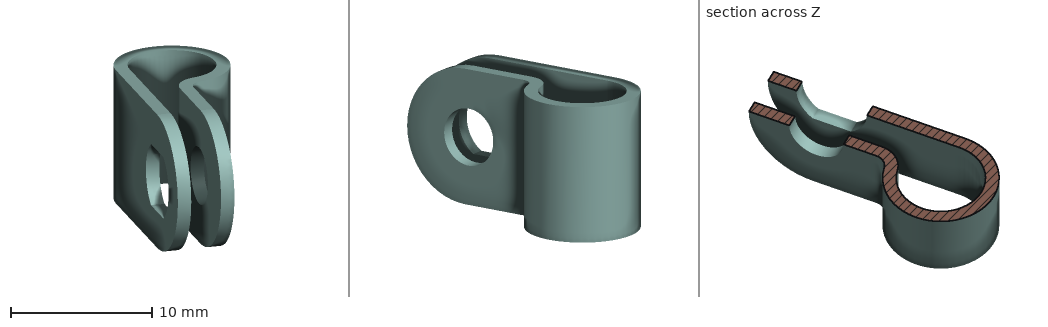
import cadquery as cq
import math

length = 19.15
width = 10.0
thickness = 1.0
strap_gap = 2.2

loop_radius = 4.146
loop_inner_radius = loop_radius - thickness

round_hole_diameter = 4.21
round_hole_x = 13.86
flat_hole_diameter = 5.5
flat_hole_height = 4.6

end_radius = width / 2
end_x = length - end_radius
upper_inside_y = thickness + strap_gap
upper_outside_y = upper_inside_y + thickness

bend_radius = 1.0
bend_outer_radius = bend_radius + thickness
bend_y = upper_outside_y + bend_radius
bend_rise = bend_y - loop_radius
bend_x = loop_radius + math.sqrt((loop_radius + bend_radius) ** 2 - bend_rise ** 2)
bend_angle = math.atan2(bend_rise, bend_x - loop_radius)
bend_middle_angle = (math.pi + bend_angle + 1.5 * math.pi) / 2


def polar(center_x, center_y, radius, angle):
    return (center_x + radius * math.cos(angle), center_y + radius * math.sin(angle))


def on_loop(radius, angle):
    return polar(loop_radius, loop_radius, radius, angle)


def on_bend(radius, angle):
    return polar(bend_x, bend_y, radius, angle)


def make_band():
    """Bent strip extruded across the full width."""
    return (
        cq.Workplane("XY")
        .moveTo(length, 0)
        .lineTo(loop_radius, 0)
        .threePointArc(on_loop(loop_radius, math.pi), on_loop(loop_radius, bend_angle))
        .threePointArc(on_bend(bend_radius, bend_middle_angle), (bend_x, upper_outside_y))
        .lineTo(length, upper_outside_y)
        .lineTo(length, upper_inside_y)
        .lineTo(bend_x, upper_inside_y)
        .threePointArc(
            on_bend(bend_outer_radius, bend_middle_angle),
            on_loop(loop_inner_radius, bend_angle),
        )
        .threePointArc(on_loop(loop_inner_radius, math.pi), (loop_radius, thickness))
        .lineTo(length, thickness)
        .close()
        .extrude(width)
    )


def make_rounded_envelope():
    """Side outline with the free ends rounded, spanning the whole depth."""
    return (
        cq.Workplane("XZ")
        .lineTo(end_x, 0)
        .threePointArc((length, end_radius), (end_x, width))
        .lineTo(0, width)
        .close()
        .extrude(-2 * loop_radius)
    )


def make_round_hole():
    return (
        cq.Workplane("XZ", origin=(round_hole_x, upper_inside_y, width / 2))
        .circle(round_hole_diameter / 2)
        .extrude(-thickness)
    )


def make_flat_sided_hole():
    """Circle cut by two flats parallel to X, centred on the end rounding."""
    plane = cq.Workplane("XZ", origin=(end_x, 0, width / 2))
    disc = plane.circle(flat_hole_diameter / 2).extrude(-thickness)
    flats = plane.rect(flat_hole_diameter, flat_hole_height).extrude(-thickness)
    return disc.intersect(flats)


clamp = make_band().intersect(make_rounded_envelope())
result = clamp.cut(make_round_hole()).cut(make_flat_sided_hole())